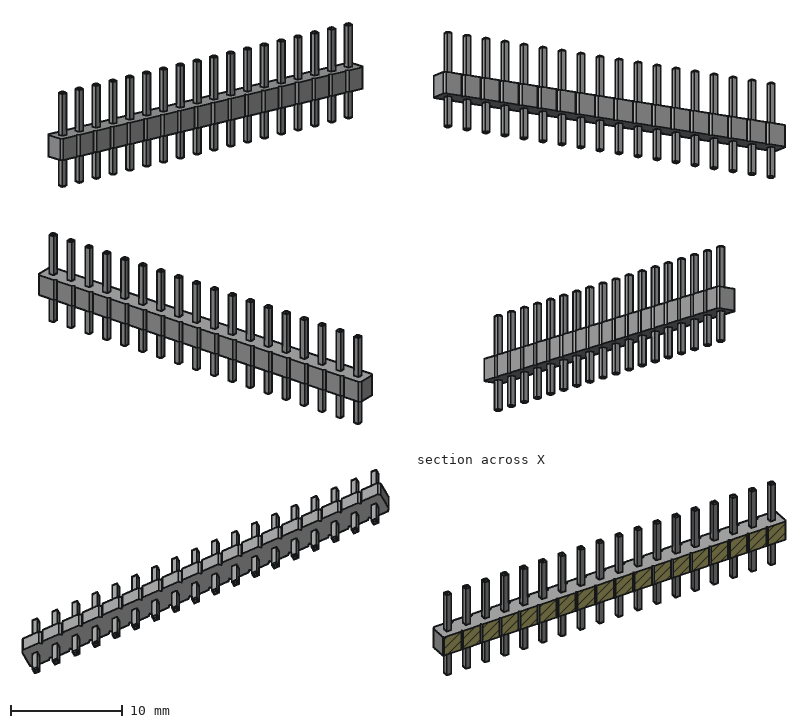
import cadquery as cq

pin_count = 18
pitch = 2.0

housing_width = 2.0
housing_height = 2.0
housing_chamfer = 0.2

pin_width = 0.5
pin_above = 4.0
pin_below = 2.8
pin_tip_chamfer = pin_width / 4

pin_length = pin_below + housing_height + pin_above
first_pin_y = -pitch * (pin_count - 1) / 2
pin_positions = [(0, first_pin_y + i * pitch) for i in range(pin_count)]


def make_housing():
    """Row of blocks whose chamfered vertical edges form V notches between pins."""
    half_width = housing_width / 2
    half_length = pin_count * pitch / 2
    neck_half_width = half_width - housing_chamfer

    side = [(neck_half_width, -half_length)]
    for _, pin_y in pin_positions:
        block_end = pin_y + pitch / 2
        side.append((half_width, pin_y - pitch / 2 + housing_chamfer))
        side.append((half_width, block_end - housing_chamfer))
        side.append((neck_half_width, block_end))

    opposite_side = [(-x, y) for x, y in reversed(side)]
    return cq.Workplane("XY").polyline(side + opposite_side).close().extrude(housing_height)


def make_pins():
    """Square pins with chamfered tips at both ends."""
    return (
        cq.Workplane("XY")
        .workplane(offset=-pin_below)
        .pushPoints(pin_positions)
        .rect(pin_width, pin_width)
        .extrude(pin_length)
        .faces("<Z or >Z")
        .edges()
        .chamfer(pin_tip_chamfer)
    )


result = make_housing().union(make_pins())